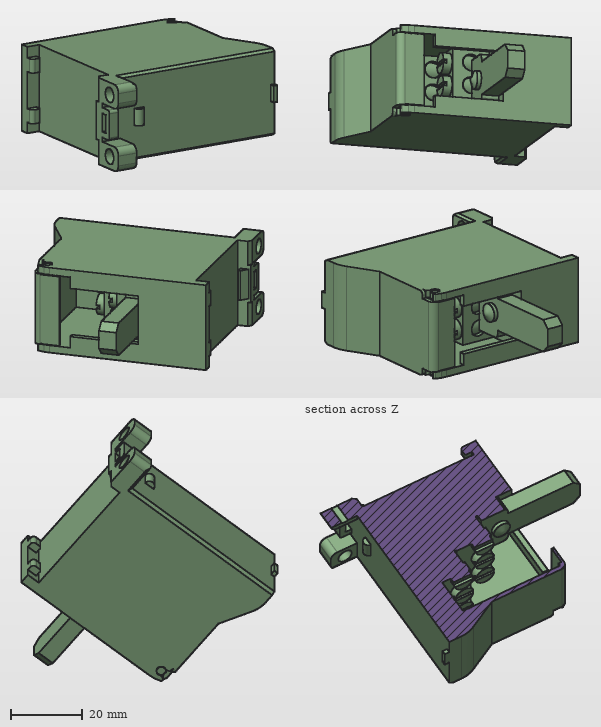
import cadquery as cq
import math

LENGTH = 69.7
HEIGHT = 57.2
WIDTH = 25.2
MID_Z = WIDTH / 2

FRONT_X = 19.2
BACK_X = 61.2
SHOULDER_Y = 51.1
FRONT_CORNER_R = 2.0
SLOPE_START_X = 43.8
SLOPE_DEG = 29.0
CREST_R = 9.35
RAIL_Y = 3.9
RAIL_FRONT_X = 22.15
RAIL_BACK_X = 58.2
FOOT_Y = 6.05
BACK_BEVEL_X = 1.05
FOOT_BEVEL_Y = 0.7
BEVEL_DROP = 0.7
ENTRY_BEVEL = 1.2
ENTRY_BEVEL_RISE = 0.85

FOOT_WIDTH = 7.05
FOOT_CORNER_R = 2.1
FOOT_HOLE_R = 2.15
FOOT_HOLE_X = 65.1
FOOT_HOLE_INSET = 3.6
TONGUE_END_X = 65.0
TONGUE_WIDTH = 8.7
TONGUE_CORNER_R = 0.85
LATCH_HOLE_WIDTH = 5.3
LATCH_HOLE_END_X = 63.1
NUB_END_X = 62.65
NUB_WIDTH = 4.9
NUB_Y = 12.2
NUB_HEIGHT = 3.1
LIP_HEIGHT = 1.25
HOOK_TIP_X = 56.2
HOOK_TIP_Y = 2.4
HOOK_ROOT_X = 58.8

CLIP_END_X = 24.4
CLIP_TOP_Y = 3.0
CLIP_WIDTH = 4.05
CLIP_OFFSET_Z = 7.4
CLIP_LOWER_R = 1.1
CLIP_UPPER_R = 0.55

SIDE_WALL = 2.15
FRONT_WALL = 1.75
ROOF_Y = 49.6
CAVITY_BACK_X = 52.3
OPENING_Y = 40.15
LID_Y = 43.35
LID_THICKNESS = 0.85
WINDOW_Y = 20.0
WINDOW_WIDTH = 14.3
EAR_START_Y = 46.3
EAR_RECEDE = (19.3, 47.95)
EAR_HUMP_START = (19.8, 49.7)
EAR_HUMP_TOP = (20.35, 50.0)
EAR_HUMP_END = (20.8, 49.6)
EAR_END_X = 23.85
EAR_LEDGE_Y = 50.0
EAR_LEDGE_R = 1.1
EAR_NECK_HALF = 1.1
LID_GAP = 0.2
EAR_NECK_Y = 48.7
PIN_X = 22.2
PIN_Y = 47.9
PIN_R = 1.3
PIN_TOP_Y = 49.15
PIN_FLAT_HALF = 0.7
PIN_RECESS = 0.35

PLUG_TOP_Y = 25.1
PLUG_WIDTH = 9.55
PLUG_CHAMFER = 2.15

POLE_PITCH = 6.55
PLUG_STEP_X = 23.35
SCREW_STEPS = [
    (32.05, 43.2, 30.75),
    (43.2, CAVITY_BACK_X, 38.3),
]
STEP_WIDTH = 14.35
STEP_CORNER_R = 1.5
SCREW_R = 3.0
SCREW_HEIGHT = 2.5
SCREW_SLOT_WIDTH = 1.05
SCREW_SLOT_DEPTH = 1.0
SCREW_SETBACK = 3.5
WIRE_HOLE_R = 2.4
WIRE_HOLE_DEPTH_Y = 5.45
STUD_R = 2.65
STUD_HEIGHT = 1.2
STUD_TIP = 1.3


def block(x0, x1, y0, y1, z0, z1):
    """Box between two opposite corners."""
    return cq.Workplane("XY").box(x1 - x0, y1 - y0, z1 - z0, centered=False).translate((x0, y0, z0))


def centred_block(x0, x1, y0, y1, width):
    """Box of the given width, symmetric about the mid plane."""
    return block(x0, x1, y0, y1, MID_Z - width / 2, MID_Z + width / 2)


def centred_prism(outline, width):
    """Closed XY outline extruded symmetrically about the mid plane."""
    return outline.close().extrude(width).translate((0, 0, MID_Z - width / 2))


def post(x, y, z, radius, height):
    """Cylinder standing along +Y."""
    return cq.Workplane(cq.Solid.makeCylinder(radius, height, cq.Vector(x, y, z), cq.Vector(0, 1, 0)))


def make_housing():
    slope = math.radians(SLOPE_DEG)
    crest_drop = CREST_R * (1 - math.cos(slope))
    crest_start_y = HEIGHT - crest_drop
    crest_start_x = SLOPE_START_X + (crest_start_y - SHOULDER_Y) / math.tan(slope)
    crest_end_x = crest_start_x + CREST_R * math.sin(slope)
    crest_mid = (
        crest_end_x - CREST_R * math.sin(slope / 2),
        HEIGHT - CREST_R * (1 - math.cos(slope / 2)),
    )
    corner_centre = (FRONT_X + FRONT_CORNER_R, SHOULDER_Y - FRONT_CORNER_R)
    corner_offset = FRONT_CORNER_R * math.sqrt(0.5)
    outline = (
        cq.Workplane("XY")
        .moveTo(FRONT_X, 0)
        .lineTo(FRONT_X, corner_centre[1])
        .threePointArc(
            (corner_centre[0] - corner_offset, corner_centre[1] + corner_offset),
            (corner_centre[0], SHOULDER_Y),
        )
        .lineTo(SLOPE_START_X, SHOULDER_Y)
        .lineTo(crest_start_x, crest_start_y)
        .threePointArc(crest_mid, (crest_end_x, HEIGHT))
        .lineTo(BACK_X, HEIGHT)
        .lineTo(BACK_X, FOOT_Y)
        .lineTo(LENGTH, FOOT_Y)
        .lineTo(LENGTH, 0)
        .lineTo(RAIL_BACK_X, 0)
        .lineTo(RAIL_BACK_X, RAIL_Y)
        .lineTo(RAIL_FRONT_X, RAIL_Y)
        .lineTo(RAIL_FRONT_X, 0)
    )
    return outline.close().extrude(WIDTH)


def bevel_back_edges(body):
    """Bevel the back edges of both sides and the upper edges of the back feet."""
    back = (
        cq.Workplane("XZ")
        .polyline([
            (BACK_X - BACK_BEVEL_X, WIDTH),
            (BACK_X, WIDTH - BEVEL_DROP),
            (LENGTH, WIDTH - BEVEL_DROP),
            (LENGTH, WIDTH),
        ])
        .close()
        .extrude(-HEIGHT)
    )
    foot = (
        cq.Workplane("YZ")
        .polyline([
            (FOOT_Y - FOOT_BEVEL_Y, WIDTH),
            (FOOT_Y, WIDTH - BEVEL_DROP),
            (HEIGHT, WIDTH - BEVEL_DROP),
            (HEIGHT, WIDTH),
        ])
        .close()
        .extrude(LENGTH)
    )
    mitred = back.intersect(foot)
    return body.cut(mitred).cut(mitred.mirror("XY", (0, 0, MID_Z)))


def shape_feet(body):
    """Leave two outer feet with screw holes and a latch tongue between them."""
    gap = centred_block(BACK_X, LENGTH, 0, FOOT_Y, WIDTH - 2 * FOOT_WIDTH)
    body = body.cut(gap)
    for side in (-1, 1):
        foot_z = MID_Z + side * (WIDTH - FOOT_WIDTH) / 2
        foot = (
            cq.Workplane("XZ")
            .rect(2 * (LENGTH - BACK_X), FOOT_WIDTH)
            .extrude(-FOOT_Y)
            .edges("|Y and >X")
            .fillet(FOOT_CORNER_R)
            .translate((BACK_X, 0, foot_z))
        )
        foot_zone = block(
            BACK_X, LENGTH, 0, FOOT_Y, foot_z - FOOT_WIDTH / 2, foot_z + FOOT_WIDTH / 2
        )
        body = body.cut(foot_zone.cut(foot))
        hole_z = MID_Z + side * (MID_Z - FOOT_HOLE_INSET)
        body = body.cut(post(FOOT_HOLE_X, 0, hole_z, FOOT_HOLE_R, FOOT_Y))

    tongue = (
        centred_block(BACK_X, TONGUE_END_X, 0, CLIP_TOP_Y, TONGUE_WIDTH)
        .edges("|Y and >X")
        .fillet(TONGUE_CORNER_R)
    )
    latch_hole = centred_block(BACK_X, LATCH_HOLE_END_X, 0, CLIP_TOP_Y, LATCH_HOLE_WIDTH)
    return body.union(tongue.cut(latch_hole))


def make_entry_bevels():
    """Bevels under the front corner of each back foot."""
    wedge = (
        cq.Workplane("XY")
        .polyline([
            (RAIL_BACK_X, 0),
            (RAIL_BACK_X + ENTRY_BEVEL, 0),
            (RAIL_BACK_X, ENTRY_BEVEL_RISE),
        ])
        .close()
        .extrude(FOOT_WIDTH)
    )
    return wedge.union(wedge.translate((0, 0, WIDTH - FOOT_WIDTH)))


def make_latch_hook():
    """Sloped hook that grips the rail from the back."""
    outline = cq.Workplane("XY").polyline([
        (HOOK_TIP_X, CLIP_TOP_Y),
        (HOOK_TIP_X, HOOK_TIP_Y),
        (HOOK_ROOT_X, 0),
        (HOOK_ROOT_X, CLIP_TOP_Y),
    ])
    return centred_prism(outline, TONGUE_WIDTH)


def make_back_nubs():
    """Rounded nub low on the back face and a lip at its top edge."""
    nub = centred_prism(
        cq.Workplane("XY")
        .moveTo(BACK_X, NUB_Y - NUB_HEIGHT / 2)
        .threePointArc((NUB_END_X, NUB_Y), (BACK_X, NUB_Y + NUB_HEIGHT / 2)),
        NUB_WIDTH,
    )
    lip = centred_block(BACK_X, NUB_END_X, HEIGHT - LIP_HEIGHT, HEIGHT, NUB_WIDTH)
    return nub.union(lip)


def make_front_clips():
    clips = cq.Workplane("XY")
    for side in (-1, 1):
        clip = (
            centred_block(RAIL_FRONT_X, CLIP_END_X, 0, CLIP_TOP_Y, CLIP_WIDTH)
            .edges(">X and <Y").fillet(CLIP_LOWER_R)
            .edges(">X and >Y").fillet(CLIP_UPPER_R)
        )
        clips = clips.union(clip.translate((0, 0, side * CLIP_OFFSET_Z)))
    return clips


def make_cavity():
    """Hollow interior with the window and the opening below the lid."""
    inner_width = WIDTH - 2 * SIDE_WALL
    inside = centred_block(FRONT_X + FRONT_WALL, CAVITY_BACK_X, WINDOW_Y, ROOF_Y, inner_width)
    opening = centred_block(FRONT_X, FRONT_X + FRONT_WALL, OPENING_Y, LID_Y, inner_width)
    behind_lid = centred_block(
        FRONT_X + LID_THICKNESS, FRONT_X + FRONT_WALL, LID_Y, ROOF_Y - LID_THICKNESS, inner_width
    )
    window = centred_block(FRONT_X, FRONT_X + FRONT_WALL, WINDOW_Y, OPENING_Y, WINDOW_WIDTH)
    return inside.union(opening).union(behind_lid).union(window)


def cut_hinge(body):
    """Open the side walls around the lid hinge and recess the pin ends."""
    ear = (
        cq.Workplane("XY")
        .moveTo(FRONT_X, EAR_START_Y)
        .lineTo(*EAR_RECEDE)
        .lineTo(*EAR_HUMP_START)
        .threePointArc(EAR_HUMP_TOP, EAR_HUMP_END)
        .lineTo(PIN_X - EAR_NECK_HALF, EAR_NECK_Y)
        .lineTo(PIN_X - PIN_FLAT_HALF, PIN_TOP_Y)
        .lineTo(PIN_X + PIN_FLAT_HALF, PIN_TOP_Y)
        .lineTo(PIN_X + EAR_NECK_HALF, EAR_NECK_Y)
        .lineTo(EAR_END_X, EAR_LEDGE_Y)
        .lineTo(EAR_END_X, SHOULDER_Y)
        .lineTo(FRONT_X, SHOULDER_Y)
        .close()
        .extrude(SIDE_WALL)
    )
    pin_recess = cq.Workplane("XY").center(PIN_X, PIN_Y).circle(PIN_R).extrude(PIN_RECESS)
    ledge_end_x = EAR_END_X + EAR_LEDGE_R
    ledge_zone = block(EAR_END_X, ledge_end_x, EAR_LEDGE_Y, SHOULDER_Y, 0, EAR_LEDGE_R)
    round_over = post(ledge_end_x, EAR_LEDGE_Y, EAR_LEDGE_R, EAR_LEDGE_R, SHOULDER_Y - EAR_LEDGE_Y)
    lid_gap = block(
        FRONT_X,
        FRONT_X + LID_THICKNESS,
        LID_Y,
        ROOF_Y - LID_THICKNESS,
        SIDE_WALL,
        SIDE_WALL + LID_GAP,
    )
    cutter = ear.union(pin_recess).union(ledge_zone.cut(round_over)).union(lid_gap)
    return body.cut(cutter).cut(cutter.mirror("XY", (0, 0, MID_Z)))


def make_plug():
    plug = centred_block(0, PLUG_STEP_X, WINDOW_Y, PLUG_TOP_Y, PLUG_WIDTH)
    return plug.edges("|Y and <X").chamfer(PLUG_CHAMFER)


def make_screw(x, step_y, z):
    """Slotted clamping screw reaching down across the wire hole of its step."""
    top = step_y + SCREW_HEIGHT
    bottom = step_y - WIRE_HOLE_DEPTH_Y - WIRE_HOLE_R
    half_slot = SCREW_SLOT_WIDTH / 2
    slot = block(x - SCREW_R, x + SCREW_R, top - SCREW_SLOT_DEPTH, top, z - half_slot, z + half_slot)
    return post(x, bottom, z, SCREW_R, top - bottom).cut(slot)


def make_wire_hole(front_x, step_y, z):
    start = cq.Vector(front_x, step_y - WIRE_HOLE_DEPTH_Y, z)
    return cq.Workplane(cq.Solid.makeCylinder(WIRE_HOLE_R, SCREW_SETBACK, start, cq.Vector(1, 0, 0)))


def make_stud(x, y, z):
    """Round stud with a conical tip on the plug step."""
    shank = post(x, y, z, STUD_R, STUD_HEIGHT)
    tip = cq.Solid.makeCone(STUD_R, 0, STUD_TIP, cq.Vector(x, y + STUD_HEIGHT, z), cq.Vector(0, 1, 0))
    return shank.union(cq.Workplane(tip))


def make_terminals():
    """Staircase of terminal blocks with a row of screws and wire holes per step."""
    inner_width = WIDTH - 2 * SIDE_WALL
    poles = [MID_Z + i * POLE_PITCH for i in (-1, 0, 1)]
    stairs = (
        centred_block(PLUG_STEP_X, SCREW_STEPS[0][0], WINDOW_Y, PLUG_TOP_Y, STEP_WIDTH)
        .edges("|Y and <X")
        .fillet(STEP_CORNER_R)
    )
    for front_x, back_x, top_y in SCREW_STEPS:
        step = centred_block(front_x, back_x, WINDOW_Y, top_y, inner_width)
        for z in poles:
            step = step.cut(make_wire_hole(front_x, top_y, z))
            step = step.union(make_screw(front_x + SCREW_SETBACK, top_y, z))
        stairs = stairs.union(step)
    return stairs.union(make_stud(PLUG_STEP_X + STUD_R, PLUG_TOP_Y, MID_Z))


housing = bevel_back_edges(make_housing())
housing = shape_feet(housing).cut(make_entry_bevels())
housing = cut_hinge(housing.cut(make_cavity()))
result = (
    housing
    .union(make_latch_hook())
    .union(make_back_nubs())
    .union(make_front_clips())
    .union(make_terminals())
    .union(make_plug())
)